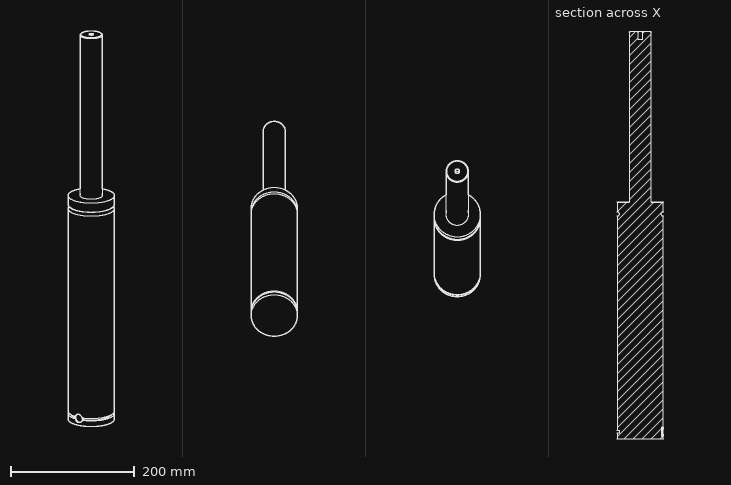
import cadquery as cq

total_height = 660.0
body_diameter = 75.0
body_height = 383.5
rod_diameter = 36.0
rod_tip_chamfer = 1.0

tip_hole_diameter = 6.5
tip_hole_depth = 13.0
tip_hole_chamfer = 0.5

upper_groove_height = 364.0
upper_groove_radius = 3.0

lower_groove_bottom = 10.0
lower_groove_width = 4.0
lower_groove_depth = 4.0

port_height = 12.0
port_boss_diameter = 16.0
port_hole_diameter = 14.0
port_depth = 2.5

body_radius = body_diameter / 2


def make_body():
    return cq.Workplane("XY").circle(body_radius).extrude(body_height)


def make_rod():
    rod = cq.Workplane("XY").workplane(offset=body_height).circle(rod_diameter / 2)
    return rod.extrude(total_height - body_height).faces(">Z").chamfer(rod_tip_chamfer)


def make_tip_hole():
    hole = cq.Workplane("XY").workplane(offset=total_height).circle(tip_hole_diameter / 2)
    hole = hole.extrude(-tip_hole_depth)
    mouth_radius = tip_hole_diameter / 2 + tip_hole_chamfer
    mouth = cq.Solid.makeCone(
        tip_hole_diameter / 2,
        mouth_radius,
        tip_hole_chamfer,
        pnt=cq.Vector(0, 0, total_height - tip_hole_chamfer),
    )
    return hole.union(cq.Workplane(mouth))


def make_upper_groove():
    section = cq.Workplane("XZ").center(body_radius, upper_groove_height).circle(upper_groove_radius)
    return section.revolve(360, (-body_radius, 0), (-body_radius, 1))


def make_lower_groove():
    ring = cq.Workplane("XY").workplane(offset=lower_groove_bottom)
    ring = ring.circle(body_radius).circle(body_radius - lower_groove_depth)
    return ring.extrude(lower_groove_width)


def port_cylinder(diameter, depth):
    """Radial cylinder running inward from the -Y extreme of the body."""
    start = cq.Workplane("XZ", origin=(0, -body_radius, port_height))
    return start.circle(diameter / 2).extrude(-depth)


port_boss = port_cylinder(port_boss_diameter, body_radius)
lower_groove = make_lower_groove().cut(port_boss)

result = (
    make_body()
    .union(make_rod())
    .cut(make_tip_hole())
    .cut(make_upper_groove())
    .cut(lower_groove)
    .cut(port_cylinder(port_hole_diameter, port_depth))
)